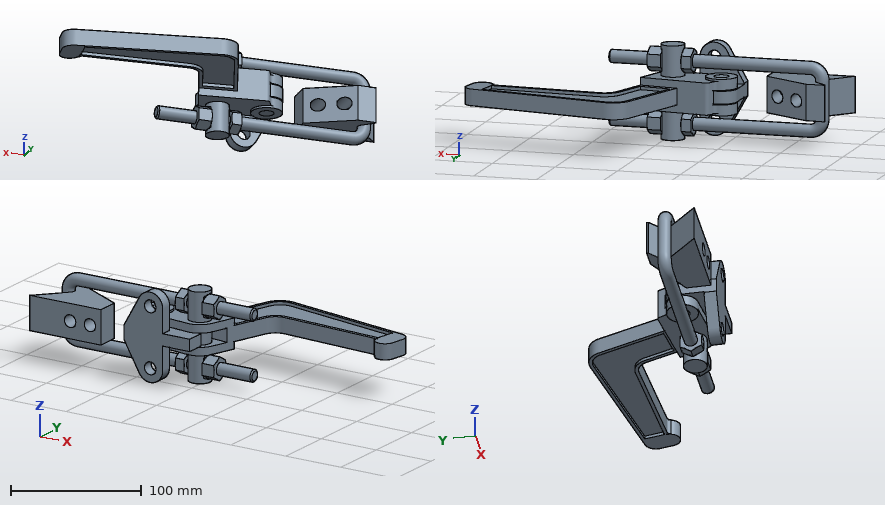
import cadquery as cq
import math


PIVOT = (98.3, 28.9)
CROSSBAR = (137.7, 26.9)
ROD_Y = CROSSBAR[1]
HOOK = (18.3, ROD_Y)

ROD_RADIUS = 5.0
ROD_SPACING = 49.0
ROD_END_X = 187.7
ROD_END_CHAMFER = 1.0
BEND_RADIUS = 9.5
CROSSBAR_RADIUS = 9.0
CROSSBAR_LENGTH = 74.0
NUT_FLATS = 16.9
NUT_CORNERS = NUT_FLATS / math.cos(math.pi / 6)
NUT_FACE_DIAMETER = 16.5
NUT_CHAMFER_ANGLE = 15
HEX_TURN = 90
FRONT_NUT_X = 120.5
FRONT_NUT_THICKNESS = 8.3
REAR_NUT_X = 144.8
REAR_NUT_THICKNESS = 11.0

CATCH_LENGTH = 64.8
CATCH_WIDTH = 28.5
CATCH_BACK_HEIGHT = 19.0
CATCH_HEIGHT = 39.7
HORN_X = 12.9
HORN_TIP_HEIGHT = 38.3
HORN_TOP_END_X = 27.7
CATCH_HOLE_RADIUS = 5.0
CATCH_HOLES_X = (36.9, 54.8)

HUB_RADIUS = 12.3
HUB_WIDTH = 28.5
CHEEK_WIDTH = 25.0
CHEEK_ROUND_RADIUS = 14.5
CHEEK_CORNER = (103.0, 49.7)
CHEEK_CORNER_RADIUS = 3.0
CHEEK_NECK_RADIUS = 3.7
CHEEK_TOP_ANGLE = -7.0
CHEEK_SIDE_ANGLE = 68.0
SLOT_WIDTH = 11.5
SLOT_DROP = 6.9

ARM_THICKNESS = 13.0
ARM_ANGLE = 70.5
ARM_DEPTH = 29.7
ARM_OUTER_RADIUS = 15.5
ARM_INNER_RADIUS = 12.0
GRIP_CORNER = (287.0, 92.8)
GRIP_CORNER_RADIUS = 9.0
GRIP_TOP_ANGLE = -10.3
GRIP_BOTTOM_ANGLE = -3.4
GRIP_END_LENGTH = 28.3
GRIP_BEND_INNER_X = 172.0
KNOB_RADIUS = 8.0
KNOB_NECK_RADIUS = 2.3
RIM_WIDTH = 2.9
POCKET_DEPTH = 2.5
POCKET_FOOT_GAP = 4.5
POCKET_END_GAP = 16.5

PLATE_THICKNESS = 9.7
PLATE_NOSE_WIDTH = 11.5
LOBE_X = 109.7
LOBE_RADIUS = 11.5
LOBE_SPACING = 50.0
PLATE_HOLE_RADIUS = 5.0
TONGUE_THICKNESS = 10.0
TONGUE_EYE_RADIUS = 12.5
TONGUE_START_X = PIVOT[0] - TONGUE_EYE_RADIUS
TONGUE_END_X = 145.7
TONGUE_HEIGHT = 16.0
PIN_RADIUS = 5.7

TOUCHING = 2.86e-06


def heading(angle):
    """Unit vector at an angle in degrees from +X."""
    return (math.cos(math.radians(angle)), math.sin(math.radians(angle)))


def polar(centre, radius, angle):
    """Point on a circle at an angle in degrees."""
    ux, uy = heading(angle)
    return (centre[0] + radius * ux, centre[1] + radius * uy)


def direction_to(start, end):
    """Angle in degrees of the line from one point to another."""
    return math.degrees(math.atan2(end[1] - start[1], end[0] - start[0]))


def tangent_point(point, centre, radius, side):
    """Touch point of a tangent from a point to a circle.

    Side +1 turns counterclockwise around the circle, from its near side to the point; -1 turns clockwise.
    """
    spread = math.degrees(math.acos(radius / math.dist(point, centre)))
    return polar(centre, radius, direction_to(centre, point) + side * spread)


def shifted(line, distance):
    """A line, given as (point, angle), moved sideways to its left."""
    point, angle = line
    return (polar(point, distance, angle + 90), angle)


def meet(line_a, line_b):
    """Crossing point of two lines, each given as (point, angle)."""
    (ax, ay), angle_a = line_a
    (bx, by), angle_b = line_b
    ux, uy = heading(angle_a)
    vx, vy = heading(angle_b)
    travel = ((bx - ax) * vy - (by - ay) * vx) / (ux * vy - uy * vx)
    return (ax + travel * ux, ay + travel * uy)


def rounded_outline(corners):
    """Closed XY outline through (point, radius) corners, each rounded by an arc unless its radius is 0."""
    stretches = []
    for index, (corner, radius) in enumerate(corners):
        before = direction_to(corner, corners[index - 1][0])
        after = direction_to(corner, corners[(index + 1) % len(corners)][0])
        half = ((after - before + 180) % 360 - 180) / 2
        setback = radius / abs(math.tan(math.radians(half)))
        reach = radius / abs(math.sin(math.radians(half))) - radius
        stretches.append((
            radius,
            polar(corner, setback, before),
            polar(corner, reach, before + half),
            polar(corner, setback, after),
        ))
    here = stretches[0][3]
    outline = cq.Workplane("XY").moveTo(*here)
    for radius, arc_start, arc_middle, arc_end in stretches[1:] + stretches[:1]:
        if math.dist(here, arc_start) > TOUCHING:
            outline = outline.lineTo(*arc_start)
        here = arc_end
        if radius > 0:
            outline = outline.threePointArc(arc_middle, arc_end)
    return outline.close()


def slab(outline, width):
    """Outline extruded to a width centred on Z = 0."""
    return outline.extrude(width / 2, both=True)


def cylinder_z(centre, radius, width):
    """Cylinder along Z centred on Z = 0."""
    return slab(cq.Workplane("XY").center(*centre).circle(radius), width)


def cylinder_y(x, z, radius, length):
    """Cylinder rising along +Y from the mounting face."""
    return cq.Workplane("XZ").center(x, z).circle(radius).extrude(-length)


def make_catch():
    """Block with a notch under a horn that holds the U-bolt, and two mounting holes."""
    tip = (0, 0)
    horn_tip = (HORN_X, HORN_TIP_HEIGHT)
    notch_bottom = tangent_point(tip, HOOK, ROD_RADIUS, 1)
    notch_top = tangent_point(horn_tip, HOOK, ROD_RADIUS, -1)
    outline = (
        cq.Workplane("XY")
        .moveTo(*tip)
        .lineTo(CATCH_LENGTH, 0)
        .lineTo(CATCH_LENGTH, CATCH_BACK_HEIGHT)
        .lineTo(HORN_TOP_END_X, CATCH_HEIGHT)
        .lineTo(HORN_X, CATCH_HEIGHT)
        .lineTo(*horn_tip)
        .lineTo(*notch_top)
        .threePointArc((HOOK[0] + ROD_RADIUS, HOOK[1]), notch_bottom)
        .close()
    )
    catch = slab(outline, CATCH_WIDTH)
    for x in CATCH_HOLES_X:
        catch = catch.cut(cylinder_y(x, 0, CATCH_HOLE_RADIUS, CATCH_HEIGHT))
    return catch


def rod_disc(start_x, z, diameter, length):
    """Cylinder coaxial with a rod."""
    return cq.Workplane("YZ", origin=(start_x, ROD_Y, z)).circle(diameter / 2).extrude(length)


def make_nut(start_x, thickness, z):
    """Hexagonal nut on a rod, with two corners along Z and the corners chamfered at both ends."""
    inset = (NUT_CORNERS - NUT_FACE_DIAMETER) / 2
    depth = inset * math.tan(math.radians(NUT_CHAMFER_ANGLE))
    blank = rod_disc(start_x, z, NUT_CORNERS, thickness)
    blank = blank.faces("<X").chamfer(depth, inset).faces(">X").chamfer(depth, inset)
    return (
        cq.Workplane("YZ", origin=(start_x, ROD_Y, z))
        .transformed(rotate=(0, 0, HEX_TURN))
        .polygon(6, NUT_CORNERS)
        .extrude(thickness)
        .intersect(blank)
    )


def make_crossbar():
    """Round bar with a flat circular seat for each rear nut."""
    crossbar = cylinder_z(CROSSBAR, CROSSBAR_RADIUS, CROSSBAR_LENGTH)
    for z in (-ROD_SPACING / 2, ROD_SPACING / 2):
        crossbar = crossbar.cut(rod_disc(REAR_NUT_X, z, NUT_CORNERS, CROSSBAR_RADIUS))
    return crossbar


def make_u_bolt():
    """Bent rod joined with the crossbar and the four nuts clamping it."""
    rod_z = ROD_SPACING / 2
    bend_start_x = HOOK[0] + BEND_RADIUS
    bend_end_z = rod_z - BEND_RADIUS
    bend_inset = BEND_RADIUS * (1 - math.sqrt(0.5))
    path = (
        cq.Workplane("XZ", origin=(0, ROD_Y, 0))
        .moveTo(ROD_END_X, rod_z)
        .lineTo(bend_start_x, rod_z)
        .threePointArc((HOOK[0] + bend_inset, rod_z - bend_inset), (HOOK[0], bend_end_z))
        .lineTo(HOOK[0], -bend_end_z)
        .threePointArc((HOOK[0] + bend_inset, bend_inset - rod_z), (bend_start_x, -rod_z))
        .lineTo(ROD_END_X, -rod_z)
    )
    rod_section = cq.Workplane("YZ", origin=(ROD_END_X, ROD_Y, rod_z)).circle(ROD_RADIUS)
    u_bolt = rod_section.sweep(path).faces(">X").edges().chamfer(ROD_END_CHAMFER)
    u_bolt = u_bolt.union(make_crossbar())
    for z in (-rod_z, rod_z):
        u_bolt = u_bolt.union(make_nut(FRONT_NUT_X, FRONT_NUT_THICKNESS, z))
        u_bolt = u_bolt.union(make_nut(REAR_NUT_X, REAR_NUT_THICKNESS, z))
    return u_bolt


cheek_top = (CHEEK_CORNER, CHEEK_TOP_ANGLE)
cheek_side = (CHEEK_CORNER, CHEEK_SIDE_ANGLE)
arm_inner = (polar(CROSSBAR, CHEEK_ROUND_RADIUS, ARM_ANGLE - 90), ARM_ANGLE)
arm_outer = shifted(arm_inner, ARM_DEPTH)
grip_top = (GRIP_CORNER, GRIP_TOP_ANGLE)
grip_end = (GRIP_CORNER, GRIP_TOP_ANGLE - 90)
bend_inner_point = meet(arm_inner, ((GRIP_BEND_INNER_X, 0), 90))
grip_bottom = (bend_inner_point, GRIP_BOTTOM_ANGLE)


def make_cheeks():
    """Rounded block around the crossbar, blended into a disc around the pivot."""
    centre_angle = direction_to(PIVOT, CROSSBAR)
    radius_step = CHEEK_ROUND_RADIUS - HUB_RADIUS
    tilt = math.degrees(math.asin(radius_step / math.dist(PIVOT, CROSSBAR)))
    under_angle = centre_angle - tilt
    underside = (polar(PIVOT, HUB_RADIUS, under_angle - 90), under_angle)
    block = slab(
        rounded_outline([
            (PIVOT, 0),
            (meet(cheek_side, (PIVOT, 0)), 0),
            (CHEEK_CORNER, CHEEK_CORNER_RADIUS),
            (meet(cheek_top, arm_inner), 0),
            (meet(arm_inner, underside), CHEEK_ROUND_RADIUS),
            (underside[0], 0),
        ]),
        CHEEK_WIDTH,
    )
    hub_top = (PIVOT[0], PIVOT[1] + HUB_RADIUS)
    neck_edge = cq.selectors.NearestToPointSelector((*meet(cheek_side, (hub_top, 0)), 0))
    cheeks = block.union(cylinder_z(PIVOT, HUB_RADIUS, CHEEK_WIDTH))
    return cheeks.edges("|Z").edges(neck_edge).fillet(CHEEK_NECK_RADIUS)


def make_arm():
    """Bent arm with a rounded grip that ends in a knob."""
    grip_base = shifted(grip_top, -GRIP_END_LENGTH)
    neck_side = shifted(grip_end, -2 * KNOB_RADIUS)
    return slab(
        rounded_outline([
            (meet(cheek_top, arm_outer), 0),
            (meet(arm_outer, grip_top), ARM_OUTER_RADIUS),
            (GRIP_CORNER, GRIP_CORNER_RADIUS),
            (meet(grip_end, grip_base), KNOB_RADIUS),
            (meet(neck_side, grip_base), KNOB_RADIUS),
            (meet(neck_side, grip_bottom), KNOB_NECK_RADIUS),
            (bend_inner_point, ARM_INNER_RADIUS),
            (meet(cheek_top, arm_inner), 0),
        ]),
        ARM_THICKNESS,
    )


def make_pockets():
    """Shallow recesses in both faces of the arm, leaving a rim."""
    foot = shifted(cheek_top, POCKET_FOOT_GAP)
    outer = shifted(arm_outer, -RIM_WIDTH)
    top = shifted(grip_top, -RIM_WIDTH)
    end = shifted(grip_end, -POCKET_END_GAP)
    bottom = shifted(grip_bottom, RIM_WIDTH)
    inner = shifted(arm_inner, RIM_WIDTH)
    corners = [
        (meet(foot, outer), 0),
        (meet(outer, top), ARM_OUTER_RADIUS - RIM_WIDTH),
        (meet(top, end), 0),
        (meet(end, bottom), 0),
        (meet(bottom, inner), ARM_INNER_RADIUS + RIM_WIDTH),
        (meet(inner, foot), 0),
    ]
    web_thickness = ARM_THICKNESS - 2 * POCKET_DEPTH
    return slab(rounded_outline(corners), ARM_THICKNESS).cut(slab(rounded_outline(corners), web_thickness))


def make_slot():
    """Clearance for the base tongue, open towards the mounting face."""
    floor = shifted(cheek_top, -SLOT_DROP)
    left_side = ((PIVOT[0] - 2 * HUB_RADIUS, 0), 90)
    right_side = ((CROSSBAR[0] + 2 * CHEEK_ROUND_RADIUS, 0), 90)
    return slab(
        rounded_outline([
            (left_side[0], 0),
            (right_side[0], 0),
            (meet(right_side, floor), 0),
            (meet(left_side, floor), 0),
        ]),
        SLOT_WIDTH,
    )


def make_handle():
    """Slotted cheeks, hub and arm in one piece, bored for the pin and the crossbar."""
    hub = cylinder_z(PIVOT, HUB_RADIUS, HUB_WIDTH)
    return (
        make_cheeks()
        .union(hub)
        .union(make_arm())
        .cut(make_pockets())
        .cut(make_slot())
        .cut(cylinder_z(PIVOT, PIN_RADIUS, HUB_WIDTH))
        .cut(cylinder_z(CROSSBAR, CROSSBAR_RADIUS, CHEEK_WIDTH))
    )


def make_plate():
    """Mounting plate with two round lobes and a blunt nose."""
    lobe = (LOBE_X, LOBE_SPACING / 2)
    nose = (TONGUE_START_X, PLATE_NOSE_WIDTH / 2)
    touch = tangent_point(nose, lobe, LOBE_RADIUS, -1)
    crown = (LOBE_X, lobe[1] + LOBE_RADIUS)
    back = (LOBE_X + LOBE_RADIUS, lobe[1])
    plate = (
        cq.Workplane("XZ")
        .moveTo(*nose)
        .lineTo(*touch)
        .threePointArc(crown, back)
        .lineTo(back[0], -back[1])
        .threePointArc((crown[0], -crown[1]), (touch[0], -touch[1]))
        .lineTo(nose[0], -nose[1])
        .close()
        .extrude(-PLATE_THICKNESS)
    )
    for z in (-lobe[1], lobe[1]):
        plate = plate.cut(cylinder_y(LOBE_X, z, PLATE_HOLE_RADIUS, PLATE_THICKNESS))
    return plate


def make_base():
    """Mounting plate with the tongue that enters the handle slot, and the pivot pin."""
    eye_end_x = PIVOT[0] + TONGUE_EYE_RADIUS
    tongue = slab(
        cq.Workplane("XY")
        .moveTo(TONGUE_START_X, 0)
        .lineTo(TONGUE_END_X, 0)
        .lineTo(TONGUE_END_X, TONGUE_HEIGHT)
        .lineTo(eye_end_x, TONGUE_HEIGHT)
        .lineTo(eye_end_x, PIVOT[1])
        .threePointArc((PIVOT[0], PIVOT[1] + TONGUE_EYE_RADIUS), (TONGUE_START_X, PIVOT[1]))
        .close(),
        TONGUE_THICKNESS,
    )
    pin = cylinder_z(PIVOT, PIN_RADIUS, HUB_WIDTH)
    return make_plate().union(tongue).union(pin)


catch = make_catch()
u_bolt = make_u_bolt()
handle = make_handle()
base = make_base()

result = cq.Compound.makeCompound([body.solids().val() for body in (catch, u_bolt, handle, base)])